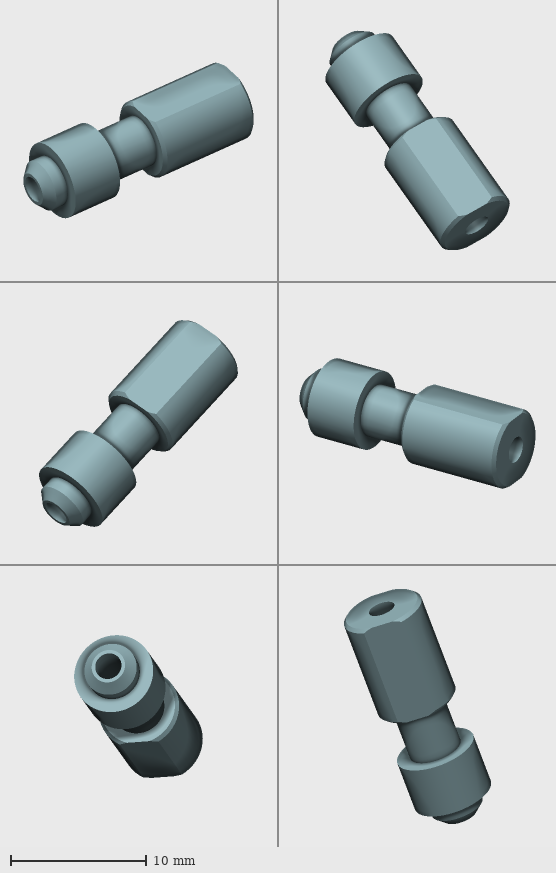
import cadquery as cq

total_length = 17.95

head_diameter = 6.09
head_length = 8.2
head_across_flats = 5.33
head_chamfer = 0.25

stem_diameter = 3.97
neck_length = 4.0
collar_diameter = 6.0
collar_length = 4.0
taper_length = 0.72
tip_length = total_length - head_length - neck_length - collar_length

bore_diameter = 2.0

tip_y = -total_length / 2
collar_y = tip_y + tip_length
head_y = total_length / 2 - head_length


def cylinder(diameter, start_y, length):
    """Cylinder on the Y axis, running from start_y towards +Y."""
    plane = cq.Plane(origin=(0, start_y, 0), xDir=(1, 0, 0), normal=(0, 1, 0))
    return cq.Workplane(plane).circle(diameter / 2).extrude(length)


def make_head():
    """Bar chamfered at both ends, then cut to flats above and below."""
    bar = cylinder(head_diameter, head_y, head_length).faces("<Y or >Y").chamfer(head_chamfer)
    flats = cq.Workplane("XY").box(head_diameter, total_length, head_across_flats)
    return bar.intersect(flats)


stem = cylinder(stem_diameter, tip_y, total_length).faces("<Y").chamfer(taper_length)
collar = cylinder(collar_diameter, collar_y, collar_length)
bore = cylinder(bore_diameter, tip_y, total_length)

result = stem.union(collar).union(make_head()).cut(bore)